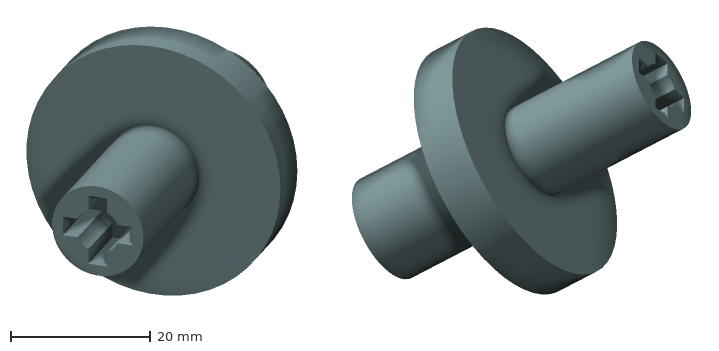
import cadquery as cq

flange_diameter = 39
flange_thickness = 7
front_shaft_diameter = 14
front_shaft_length = 23
rear_shaft_diameter = 16.1
rear_shaft_length = 20

socket_span = 10.7
socket_slot_width = 2.9
socket_core_diameter = 6.8
socket_depth = 10

total_length = front_shaft_length + flange_thickness + rear_shaft_length
front_end = -total_length / 2
flange_front = front_end + front_shaft_length
flange_back = flange_front + flange_thickness


def section_plane(y):
    """Plane across the axis at y (its normal points along -Y)."""
    return cq.Workplane("XZ", origin=(0, y, 0))


def disc(y, diameter, length):
    """Cylinder from y toward +Y."""
    return section_plane(y).circle(diameter / 2).extrude(-length)


def slot_bar(width, height):
    """Rectangular bar of the socket, sunk from the front end."""
    return section_plane(front_end).rect(width, height).extrude(-socket_depth)


front_shaft = disc(front_end, front_shaft_diameter, front_shaft_length)
flange = disc(flange_front, flange_diameter, flange_thickness)
rear_shaft = disc(flange_back, rear_shaft_diameter, rear_shaft_length)

socket = (
    disc(front_end, socket_core_diameter, socket_depth)
    .union(slot_bar(socket_span, socket_slot_width))
    .union(slot_bar(socket_slot_width, socket_span))
)

result = front_shaft.union(flange).union(rear_shaft).cut(socket)